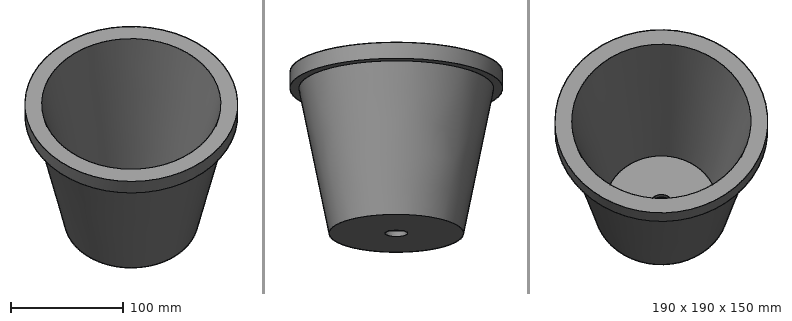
import cadquery as cq

rim_diameter = 190.0
pot_height = 150.0
rim_height = 15.0

base_diameter = 120.0
body_top_diameter = 180.0
cavity_top_diameter = 160.0
cavity_floor_diameter = 100.0
floor_thickness = 5.0

drain_diameter = 20.0


def frustum(bottom_diameter, top_diameter, bottom_z, top_z):
    """Solid cone section on the Z axis."""
    return (
        cq.Workplane("XZ")
        .moveTo(0, bottom_z)
        .lineTo(bottom_diameter / 2, bottom_z)
        .lineTo(top_diameter / 2, top_z)
        .lineTo(0, top_z)
        .close()
        .revolve(360, (0, 0, 0), (0, 1, 0))
    )


body = frustum(base_diameter, body_top_diameter, 0, pot_height)
rim = frustum(rim_diameter, rim_diameter, pot_height - rim_height, pot_height)
cavity = frustum(cavity_floor_diameter, cavity_top_diameter, floor_thickness, pot_height)
drain = cq.Workplane("XY").circle(drain_diameter / 2).extrude(floor_thickness)

result = body.union(rim).cut(cavity).cut(drain)